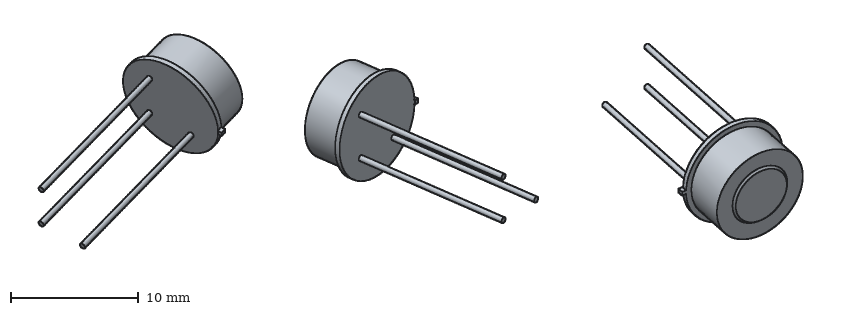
import cadquery as cq

overall_length = 18.65
overall_width = 9.57

flange_diameter = 9.2
flange_thickness = 0.45
can_diameter = 8.19
can_height = 3.5
window_base_diameter = 5.22
window_rise = 0.19
window_top_diameter = window_base_diameter - 2 * window_rise

lead_diameter = 0.5
lead_pitch = 4.0
lead_length = overall_length - flange_thickness - can_height - window_rise

tab_width = 0.4
tab_overhang = 0.05
tab_reach = overall_width - flange_diameter / 2
tab_embed = 0.19
tab_root = flange_diameter / 2 - tab_embed


def make_can():
    """Flange, can and raised window, revolved about Y; lead-side face at Y = 0."""
    can_top = flange_thickness + can_height
    window_top = can_top + window_rise
    return (
        cq.Workplane("XY")
        .moveTo(0, 0)
        .lineTo(flange_diameter / 2, 0)
        .lineTo(flange_diameter / 2, flange_thickness)
        .lineTo(can_diameter / 2, flange_thickness)
        .lineTo(can_diameter / 2, can_top)
        .lineTo(window_base_diameter / 2, can_top)
        .lineTo(window_top_diameter / 2, window_top)
        .lineTo(0, window_top)
        .close()
        .revolve(360, (0, 0, 0), (0, 1, 0))
    )


def make_leads():
    """Three straight leads on the corners of a square, extending toward -Y."""
    offset = lead_pitch / 2
    corners = [(-offset, offset), (-offset, -offset), (offset, -offset)]
    return (
        cq.Workplane("XZ")
        .pushPoints(corners)
        .circle(lead_diameter / 2)
        .extrude(lead_length)
    )


def make_tab():
    """Rectangular tab, flush with the can side of the flange and outside its rim."""
    bar = (
        cq.Workplane("XY")
        .box(
            tab_reach - tab_root,
            flange_thickness + tab_overhang,
            tab_width,
            centered=(False, False, True),
        )
        .translate((tab_root, -tab_overhang, 0))
    )
    rim_clearance = cq.Workplane("XZ").circle(flange_diameter / 2).extrude(tab_overhang)
    return bar.cut(rim_clearance)


result = make_can().union(make_leads()).union(make_tab())